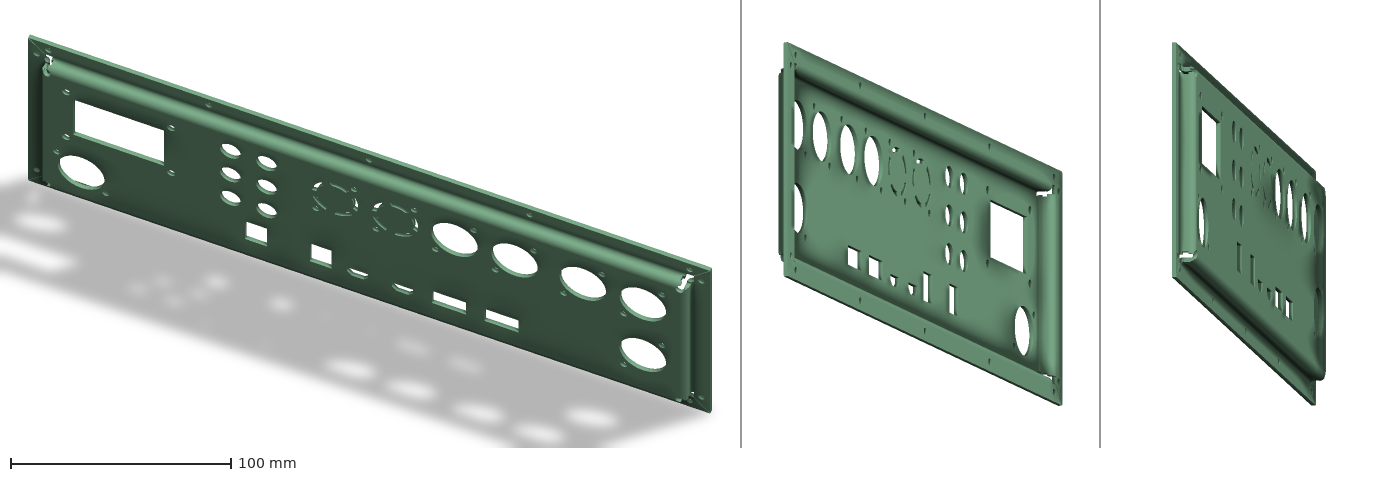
import cadquery as cq
import math

LENGTH = 337.0
HEIGHT = 108.2
DEPTH = 9.0
SHEET = 2.0
INNER_BEND = 1.0
OUTER_BEND = INNER_BEND + SHEET
FLANGE = 9.0

PLATE_HALF_X = LENGTH / 2 - FLANGE - OUTER_BEND
PLATE_HALF_Z = HEIGHT / 2 - FLANGE - OUTER_BEND
FLANGE_START = OUTER_BEND + INNER_BEND

WALL_SETBACK = 1.0
RELIEF_DIA = 4.0
MITRE_GAP = 0.27

FLANGE_HOLE_DIA = 3.2
FLANGE_HOLE_MARGIN = 4.5
FLANGE_HOLE_PITCH = 79.2
SIDE_HOLE_INSET = 10.0
FLANGE_HOLE_COUNT = 5

DISPLAY_X = -120.5
DISPLAY_Z = 16.0
DISPLAY_WIDTH = 44.8
DISPLAY_HEIGHT = 26.5
DISPLAY_SCREW_DX = 52.0
DISPLAY_SCREW_DZ = 34.0
DISPLAY_SCREW_DIA = 4.0

BUTTON_DIA = 10.0
BUTTON_X = -56.5
BUTTON_Z = 12.8
BUTTON_PITCH = 18.0

CONNECTOR_DIA = 23.0
CONNECTOR_SCREW_DIA = 3.5
SCREW_NEAR = 9.5
SCREW_FAR = 12.0
CONNECTOR_PITCH = 29.5
TOP_ROW_Z = 21.5
KNOCKOUT_X = -13.8
OPEN_X = 45.0
RIGHT_X = 138.0
RIGHT_LOW_Z = -17.0
POWER_X = -139.2
POWER_Z = -24.3

KNOCKOUT_INNER_DIA = 18.5
KNOCKOUT_TABS = 5
TAB_WIDTH = 4.5
FIRST_TAB_ANGLE = 42.0

PORT_BOTTOM_Z = -32.0
SQUARE_PORT_WIDTH = 10.8
SQUARE_PORT_HEIGHT = 13.5
SQUARE_PORT_XS = (-53.0, -21.0)
WIDE_PORT_WIDTH = 17.0
WIDE_PORT_HEIGHT = 9.0
WIDE_PORT_XS = (42.5, 68.5)
MICRO_PORT_WIDTH = 10.5
MICRO_PORT_HEIGHT = 5.0
MICRO_PORT_CHAMFER = 2.5
MICRO_PORT_XS = (-2.7, 19.5)


def through(sketch):
    """Turn a sketch on the XZ plane into a cutter through the full depth."""
    return sketch.extrude(-DEPTH)


def front_plane():
    return cq.Workplane("XZ")


def holes(points, diameter):
    return through(front_plane().pushPoints(points).circle(diameter / 2))


def make_side(half_length, bend_line):
    """Wall, two bends and flange for the +Z side, with the plate's bend line at z = bend_line."""
    diagonal = math.sqrt(0.5)
    wall = bend_line + OUTER_BEND
    inside = bend_line + INNER_BEND
    flange = bend_line + FLANGE_START
    flange_bend_y = DEPTH - OUTER_BEND
    strip = (
        cq.Workplane("YZ", origin=(-half_length, 0, 0))
        .moveTo(0, bend_line)
        .threePointArc(
            (OUTER_BEND * (1 - diagonal), bend_line + OUTER_BEND * diagonal),
            (OUTER_BEND, wall),
        )
        .lineTo(flange_bend_y, wall)
        .threePointArc(
            (flange_bend_y + INNER_BEND * diagonal, flange - INNER_BEND * diagonal),
            (DEPTH - SHEET, flange),
        )
        .lineTo(DEPTH, flange)
        .threePointArc(
            (flange_bend_y + OUTER_BEND * diagonal, flange - OUTER_BEND * diagonal),
            (flange_bend_y, inside),
        )
        .lineTo(OUTER_BEND, inside)
        .threePointArc(
            (OUTER_BEND - INNER_BEND * diagonal, bend_line + INNER_BEND * diagonal),
            (SHEET, bend_line),
        )
        .close()
        .extrude(2 * half_length)
    )
    notch = cq.Workplane("XY").box(2 * WALL_SETBACK, flange_bend_y - OUTER_BEND, 2 * SHEET)
    for sign in (-1, 1):
        strip = strip.cut(notch.translate((sign * half_length, DEPTH / 2, wall - SHEET / 2)))

    inner_half = half_length + FLANGE_START - MITRE_GAP
    flange_width = FLANGE - INNER_BEND
    flat = (
        cq.Workplane("XZ", origin=(0, DEPTH, 0))
        .polyline([
            (-inner_half, flange),
            (inner_half, flange),
            (inner_half + flange_width, flange + flange_width),
            (-inner_half - flange_width, flange + flange_width),
        ])
        .close()
        .extrude(SHEET)
    )
    return strip.union(flat)


def make_pan():
    pan = front_plane().rect(2 * PLATE_HALF_X, 2 * PLATE_HALF_Z).extrude(-SHEET)
    long_side = make_side(PLATE_HALF_X, PLATE_HALF_Z)
    short_side = make_side(PLATE_HALF_Z, PLATE_HALF_X)
    for side, first_angle in ((long_side, 0), (short_side, 90)):
        for angle in (first_angle, first_angle + 180):
            pan = pan.union(side.rotate((0, 0, 0), (0, 1, 0), angle))
    return pan


def corner_reliefs():
    """Round openings where the bend lines meet, through the plate and the plate bends."""
    corners = [(sx * PLATE_HALF_X, sz * PLATE_HALF_Z) for sx in (-1, 1) for sz in (-1, 1)]
    return front_plane().pushPoints(corners).circle(RELIEF_DIA / 2).extrude(-OUTER_BEND)


def flange_holes():
    row_z = HEIGHT / 2 - FLANGE_HOLE_MARGIN
    column_x = LENGTH / 2 - FLANGE_HOLE_MARGIN
    column_z = HEIGHT / 2 - SIDE_HOLE_INSET
    first_x = -FLANGE_HOLE_PITCH * (FLANGE_HOLE_COUNT - 1) / 2
    points = []
    for sign in (-1, 1):
        for i in range(FLANGE_HOLE_COUNT):
            points.append((first_x + i * FLANGE_HOLE_PITCH, sign * row_z))
        points.append((-column_x, sign * column_z))
        points.append((column_x, sign * column_z))
    return holes(points, FLANGE_HOLE_DIA)


def display_cutout():
    centre = front_plane().center(DISPLAY_X, DISPLAY_Z)
    window = through(centre.rect(DISPLAY_WIDTH, DISPLAY_HEIGHT))
    corners = centre.rect(DISPLAY_SCREW_DX, DISPLAY_SCREW_DZ, forConstruction=True).vertices()
    return window.union(through(corners.circle(DISPLAY_SCREW_DIA / 2)))


def button_holes():
    grid = front_plane().center(BUTTON_X, BUTTON_Z).rarray(BUTTON_PITCH, BUTTON_PITCH, 2, 3)
    return through(grid.circle(BUTTON_DIA / 2))


def connector_screws(x, z, dx, dz):
    return holes([(x + dx, z + dz), (x - dx, z - dz)], CONNECTOR_SCREW_DIA)


def connector(x, z, dx=SCREW_NEAR, dz=SCREW_FAR):
    return holes([(x, z)], CONNECTOR_DIA).union(connector_screws(x, z, dx, dz))


def knockout(x, z):
    """Connector outline cut as arc slots, with tabs that still hold the disc."""
    centre = front_plane().center(x, z)
    ring = through(centre.circle(CONNECTOR_DIA / 2).circle(KNOCKOUT_INNER_DIA / 2))
    for i in range(KNOCKOUT_TABS):
        angle = FIRST_TAB_ANGLE + i * 360 / KNOCKOUT_TABS
        tab = through(front_plane().center(CONNECTOR_DIA / 2, 0).rect(CONNECTOR_DIA, TAB_WIDTH))
        ring = ring.cut(tab.rotate((0, 0, 0), (0, 1, 0), -angle).translate((x, 0, z)))
    return ring.union(connector_screws(x, z, SCREW_NEAR, SCREW_FAR))


def port(x, width, height):
    return through(front_plane().center(x, PORT_BOTTOM_Z + height / 2).rect(width, height))


def micro_port(x):
    """Small port opening with chamfered lower corners."""
    blank = port(x, MICRO_PORT_WIDTH, MICRO_PORT_HEIGHT)
    return blank.faces("<Z").edges("|Y").chamfer(MICRO_PORT_CHAMFER)


cutters = [corner_reliefs(), flange_holes(), display_cutout(), button_holes()]
for offset in (0, CONNECTOR_PITCH):
    cutters.append(knockout(KNOCKOUT_X + offset, TOP_ROW_Z))
    cutters.append(connector(OPEN_X + offset, TOP_ROW_Z))
    cutters.append(connector(RIGHT_X - offset, TOP_ROW_Z))
cutters.append(connector(RIGHT_X, RIGHT_LOW_Z))
cutters.append(connector(POWER_X, POWER_Z, dx=SCREW_FAR, dz=-SCREW_NEAR))
cutters += [port(x, SQUARE_PORT_WIDTH, SQUARE_PORT_HEIGHT) for x in SQUARE_PORT_XS]
cutters += [port(x, WIDE_PORT_WIDTH, WIDE_PORT_HEIGHT) for x in WIDE_PORT_XS]
cutters += [micro_port(x) for x in MICRO_PORT_XS]

result = make_pan()
for cutter in cutters:
    result = result.cut(cutter)